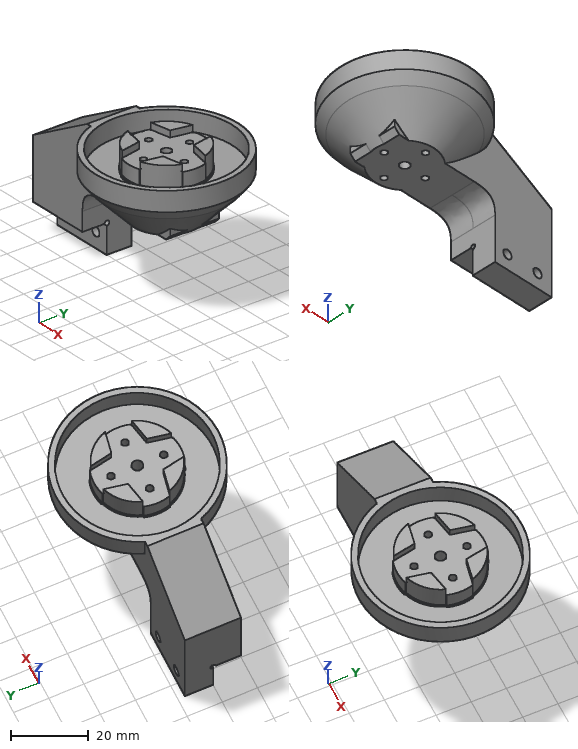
import cadquery as cq
import math

OVERCUT = 0.7

overall_length = 68.9
bowl_diameter = 46.1
bowl_radius = bowl_diameter / 2
bowl_wall = 1.8
rim_z = 41.7
rim_height = 6.3
floor_z = 35.75
upper_cone_height = 3.25
cone_joint_radius = 20.4
base_radius = 10.4
base_z = 22.0

arm_width = 16.0
arm_left_x = bowl_radius - overall_length
leg_width = 20.8
slope_length = 22.7
slope_low_z = 28.8
arm_end_x = 11.85
arm_end_chamfer = 1.7
bend_length = 7.8
bend_height = 6.55
bend_fullness = 0.75

step_z = 9.3
step_face_y = -0.15
relief_radius = 0.75
foot_hole_diameter = 3.0
foot_hole_z = 5.0
foot_hole_inset = 5.2
foot_hole_spacing = 11.0

hub_top_z = 43.2
tooth_height = 2.15
flange_height = 0.6
flange_overhang = 0.2
core_radius = 12.3
tooth_radius = 12.05
tooth_inner_corner = 5.0
tooth_outer_offset = 3.8
tooth_count = 4

center_hole_diameter = 3.0
screw_hole_diameter = 2.0
screw_circle_radius = 7.5
screw_count = 4


def cylinder(radius, bottom_z, top_z):
    """Upright cylinder on the bowl axis."""
    return cq.Workplane("XY").workplane(offset=bottom_z).circle(radius).extrude(top_z - bottom_z)


def make_screw_holes():
    """Cutter for the center hole and the ring of screw holes, through both bodies."""
    bottom_z = base_z - OVERCUT
    depth = hub_top_z + OVERCUT - bottom_z
    screws = (
        cq.Workplane("XY")
        .workplane(offset=bottom_z)
        .polarArray(screw_circle_radius, 0, 360, screw_count)
        .circle(screw_hole_diameter / 2)
        .extrude(depth)
    )
    return screws.union(cylinder(center_hole_diameter / 2, bottom_z, bottom_z + depth))


def make_bowl():
    """Outer shape of the bowl: a straight rim above two cones."""
    rim_bottom_z = rim_z - rim_height
    return (
        cq.Workplane("XZ")
        .moveTo(0, base_z)
        .lineTo(base_radius, base_z)
        .lineTo(cone_joint_radius, rim_bottom_z - upper_cone_height)
        .lineTo(bowl_radius, rim_bottom_z)
        .lineTo(bowl_radius, rim_z)
        .lineTo(0, rim_z)
        .close()
        .revolve(360, (0, 0, 0), (0, 1, 0))
    )


def make_arm():
    """Bent arm from the foot to the far side of the bowl."""
    leg_right_x = arm_left_x + leg_width
    bend = [
        (leg_right_x, base_z - bend_height),
        (leg_right_x, base_z - bend_height * (1 - bend_fullness)),
        (leg_right_x + bend_length * (1 - bend_fullness), base_z),
        (leg_right_x + bend_length, base_z),
    ]
    return (
        cq.Workplane("XZ")
        .moveTo(arm_left_x, 0)
        .lineTo(leg_right_x, 0)
        .lineTo(*bend[0])
        .bezier(bend[1:], includeCurrent=True)
        .lineTo(arm_end_x - arm_end_chamfer, base_z)
        .lineTo(arm_end_x, base_z + arm_end_chamfer)
        .lineTo(arm_end_x, rim_z)
        .lineTo(arm_left_x + slope_length, rim_z)
        .lineTo(arm_left_x, slope_low_z)
        .close()
        .extrude(arm_width / 2, both=True)
    )


def make_foot_step():
    """Cutter for the step in the foot, with a round relief along its inner corner."""
    step_width = arm_width / 2 + step_face_y
    step = (
        cq.Workplane("XY")
        .box(leg_width + 2 * OVERCUT, step_width + OVERCUT, step_z + OVERCUT, centered=False)
        .translate((arm_left_x - OVERCUT, -arm_width / 2 - OVERCUT, -OVERCUT))
    )
    relief = (
        cq.Workplane("YZ")
        .workplane(offset=arm_left_x - OVERCUT)
        .center(0, step_z)
        .circle(relief_radius)
        .extrude(leg_width + 2 * OVERCUT)
    )
    return step.union(relief)


def make_foot_holes():
    """Cutter for the two mounting holes through the foot."""
    first_x = arm_left_x + foot_hole_inset
    return (
        cq.Workplane("XZ")
        .pushPoints([(first_x, foot_hole_z), (first_x + foot_hole_spacing, foot_hole_z)])
        .circle(foot_hole_diameter / 2)
        .extrude(arm_width / 2 + OVERCUT, both=True)
    )


def make_housing():
    """Bowl and arm in one piece."""
    cavity = cylinder(bowl_radius - bowl_wall, floor_z, rim_z + OVERCUT)
    return (
        make_bowl()
        .union(make_arm())
        .cut(cavity)
        .cut(make_foot_step())
        .cut(make_foot_holes())
        .cut(make_screw_holes())
    )


def make_tooth_sector(bottom_z, top_z):
    """Wedge in the +X +Y quarter, bounded by the two flanks of a tooth."""
    inner = tooth_inner_corner
    near = tooth_outer_offset
    far = math.sqrt(tooth_radius**2 - near**2)
    reach = (core_radius + OVERCUT - inner) / (far - inner)
    flank_near = inner + (near - inner) * reach
    flank_far = inner + (far - inner) * reach
    return (
        cq.Workplane("XY")
        .workplane(offset=bottom_z)
        .polyline([(inner, inner), (flank_far, flank_near), (flank_far, flank_far), (flank_near, flank_far)])
        .close()
        .extrude(top_z - bottom_z)
    )


def make_toothed_block(core_outer, tooth_outer, bottom_z, core_top_z, tooth_top_z):
    """Round core whose four diagonal sectors are replaced by teeth of their own radius and height."""
    block = cylinder(core_outer, bottom_z, core_top_z)
    sector = make_tooth_sector(bottom_z, tooth_top_z)
    tooth = sector.intersect(cylinder(tooth_outer, bottom_z, tooth_top_z))
    for index in range(tooth_count):
        angle = index * 360 / tooth_count
        block = block.cut(sector.rotate((0, 0, 0), (0, 0, 1), angle))
        block = block.union(tooth.rotate((0, 0, 0), (0, 0, 1), angle))
    return block


def make_hub():
    """Hub on the bowl floor: core with four teeth set slightly inward, on a thin flange."""
    flange_top_z = floor_z + flange_height
    flange = make_toothed_block(
        core_radius + flange_overhang,
        tooth_radius + flange_overhang,
        floor_z,
        flange_top_z,
        flange_top_z,
    )
    body = make_toothed_block(core_radius, tooth_radius, flange_top_z, hub_top_z - tooth_height, hub_top_z)
    return body.union(flange).cut(make_screw_holes())


housing = make_housing()
hub = make_hub()
result = cq.Compound.makeCompound([housing.val(), hub.val()])